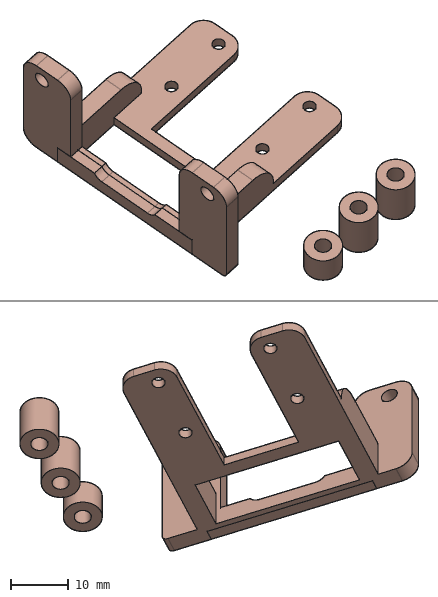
import cadquery as cq

frame_width = 47.05
frame_height = 23.0
ear_width = 10.95
ear_thickness = 3.05
corner_radius = 3.05
small_corner_radius = 1.1
ear_hole_diameter = 3.0
ear_hole_left_x = 4.3
ear_hole_spacing = 38.3
ear_hole_z = frame_height - 3.05

sill_height = 3.95
notch_depth = 1.0
notch_radius = 2.0
notch_left = 16.45
notch_width = 14.0

insert_left = 7.85
insert_length = 31.15
insert_thickness = 2.0

base_left = 6.4
base_width = 34.05
base_front = 12.7
base_back = 40.0
base_thickness = 2.0
arm_slot_front = 15.1
arm_hole_diameter = 2.3
arm_hole_left_x = 12.9
arm_hole_spacing = 21.05
arm_hole_ys = (24.5, 37.0)

rib_width = 3.5
rib_height = 8.05
rib_back = 20.0
rib_radius = 5.45

spacer_diameter = 6.8
spacer_bore = 3.0
tall_spacer = 8.4
short_spacer = 5.45
spacer_places = (
    (58.5, 31.7, tall_spacer),
    (58.45, 22.0, tall_spacer),
    (57.8, 13.25, short_spacer),
)


def box(x, y, z, length, depth, height):
    """Box with its minimum corner at x, y, z."""
    return cq.Workplane("XY").box(length, depth, height, centered=False).translate((x, y, z))


def notched_bar(left, length, front, thickness):
    """Bar along X whose top dips into the round-ended notch."""
    arc_drop = notch_radius - notch_depth
    arc_run = (notch_radius**2 - arc_drop**2) ** 0.5
    floor_z = sill_height - notch_depth
    notch_right = notch_left + notch_width
    return (
        cq.Workplane("XZ", origin=(0, front, 0))
        .moveTo(left, 0)
        .lineTo(left + length, 0)
        .lineTo(left + length, sill_height)
        .lineTo(notch_right, sill_height)
        .radiusArc((notch_right - arc_run, floor_z), notch_radius)
        .lineTo(notch_left + arc_run, floor_z)
        .radiusArc((notch_left, sill_height), notch_radius)
        .lineTo(left, sill_height)
        .close()
        .extrude(-thickness)
    )


def make_ear(left, outer_side, bottom_radius):
    """Upright ear; outer_side selects the edge with the rounded lower corner."""
    ear = box(left, 0, 0, ear_width, ear_thickness, frame_height)
    ear = ear.edges("|Y and >Z").fillet(corner_radius)
    return ear.faces("<Z").edges(outer_side).fillet(bottom_radius)


def make_rib(left):
    """Side rib with a rounded upper back corner."""
    rib = box(left, ear_thickness, 0, rib_width, rib_back - ear_thickness, rib_height)
    return rib.edges("|X and >Y and >Z").fillet(rib_radius)


def make_base():
    """Base plate with an open slot that leaves two drilled arms."""
    base = box(base_left, base_front, 0, base_width, base_back - base_front, base_thickness)
    slot = box(notch_left, arm_slot_front, 0, notch_width, base_back - arm_slot_front, base_thickness)
    base = base.cut(slot).edges("|Z and >Y").fillet(corner_radius)
    hole_places = [(arm_hole_left_x + i * arm_hole_spacing, y) for i in range(2) for y in arm_hole_ys]
    holes = (
        cq.Workplane("XY")
        .pushPoints(hole_places)
        .circle(arm_hole_diameter / 2)
        .extrude(base_thickness)
    )
    return base.cut(holes)


def make_frame(insert):
    """Ears, sill, ribs and base as one solid, recessed for the insert bar."""
    sill = notched_bar(ear_width, frame_width - 2 * ear_width, 0, ear_thickness)
    frame = (
        make_base()
        .union(make_rib(base_left))
        .union(make_rib(base_left + base_width - rib_width))
        .union(make_ear(0, "<X", corner_radius))
        .union(make_ear(frame_width - ear_width, ">X", small_corner_radius))
        .union(sill)
    )
    ear_holes = (
        cq.Workplane("XZ")
        .pushPoints([(ear_hole_left_x + i * ear_hole_spacing, ear_hole_z) for i in range(2)])
        .circle(ear_hole_diameter / 2)
        .extrude(-ear_thickness)
    )
    return frame.cut(ear_holes).cut(insert)


def make_spacer(x, y, height):
    """Plain round spacer with a through bore."""
    return (
        cq.Workplane("XY", origin=(x, y, 0))
        .circle(spacer_diameter / 2)
        .circle(spacer_bore / 2)
        .extrude(height)
    )


insert_bar = notched_bar(insert_left, insert_length, 0, insert_thickness)
frame = make_frame(insert_bar)
spacers = [make_spacer(x, y, height) for x, y, height in spacer_places]

result = cq.Compound.makeCompound(
    [frame.val(), insert_bar.val(), *[spacer.val() for spacer in spacers]]
)